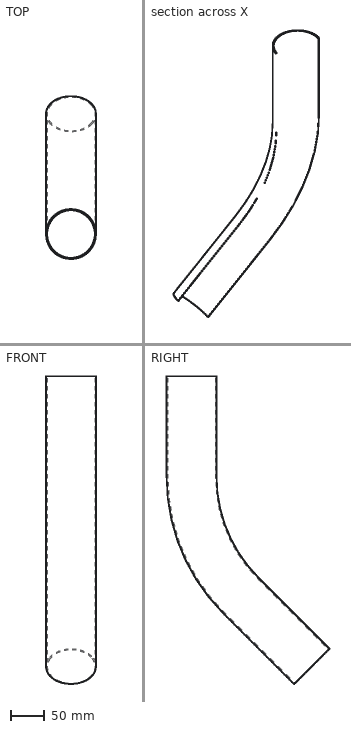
import cadquery as cq
import math

outer_diameter = 76.0
inner_diameter = 72.0
total_height = 466.5
leg_length = 152.5
bend_angle = math.radians(45)

end_face_drop = outer_diameter / 2 * math.sin(bend_angle)
legs_height = leg_length * (1 + math.cos(bend_angle))
bend_radius = (total_height - legs_height - end_face_drop) / math.sin(bend_angle)


def bend_point(angle):
    """Centerline point (Y, Z) after turning by angle; the bend starts at the origin."""
    return (bend_radius * (1 - math.cos(angle)), -bend_radius * math.sin(angle))


bend_end = bend_point(bend_angle)
lower_end = (
    bend_end[0] + leg_length * math.sin(bend_angle),
    bend_end[1] - leg_length * math.cos(bend_angle),
)

centerline = (
    cq.Workplane("YZ")
    .moveTo(0, leg_length)
    .lineTo(0, 0)
    .threePointArc(bend_point(bend_angle / 2), bend_end)
    .lineTo(*lower_end)
)

wall_section = (
    cq.Workplane("XY", origin=(0, 0, leg_length))
    .circle(outer_diameter / 2)
    .circle(inner_diameter / 2)
)
result = wall_section.sweep(centerline)